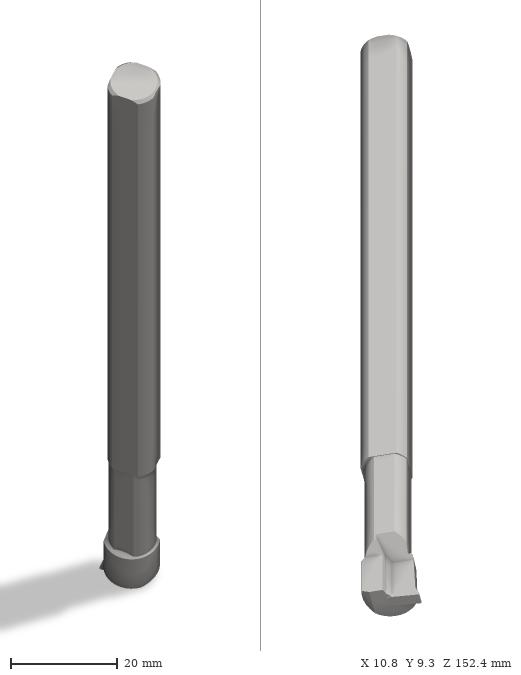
import cadquery as cq
import math

total_length = 152.4
neck_top = 35.7
head_top = 10.8
head_bottom = 0.6

shank_radius = 5.0
flat_distance = 4.3
left_flat_distance = 4.35
right_flat_distance = 4.7
end_chamfer = 0.6

neck_radius = 4.5
neck_shift = -0.3
neck_inset = 0.2

head_radius = 5.3
head_center = (-0.6, 0.3)
head_chamfer = 1.0
head_flat_top_x = -5.0
head_flat_bottom_x = -5.5
heel_width = 1.7
heel_rise = 0.8

back_face_y = 2.0
rake_face_y = 0.0
rake_width_end = -0.9
rake_step_x = 0.0
rake_step_y = 0.9
rake_wall_end = 0.5
back_ramp_z = 10.4
rake_ramp_z = 9.9

insert_thickness = 2.3
insert_side = 6.4
insert_tip_x = -6.4
insert_nose_x = -6.1
insert_tilt = 5.0
insert_tip_z = (insert_tip_x - insert_nose_x) * math.tan(math.radians(insert_tilt))

screw_radius = 0.8
screw_head_radius = 1.2
screw_head_depth = 0.8
screw_length = 2.7

margin = 15.2


def flatted_bar(radius, shift, right_x, inset, bottom, top):
    """Round bar along Z, trimmed to the planes of the flats."""
    bar = cq.Workplane("XY", origin=(shift, 0, bottom)).circle(radius).extrude(top - bottom)
    left_x = inset - left_flat_distance
    width = right_x - left_x
    middle = (right_x + left_x) / 2
    envelope = cq.Workplane("XY", origin=(middle, 0, bottom)).rect(width, 2 * (flat_distance - inset))
    return bar.intersect(envelope.extrude(top - bottom))


def make_shank():
    """Shank whose upper end carries a conical chamfer."""
    shank = flatted_bar(shank_radius, 0, right_flat_distance, 0, neck_top, total_length)
    cone = (
        cq.Workplane("XY", origin=(0, 0, neck_top))
        .circle(shank_radius)
        .extrude(total_length - neck_top)
        .faces(">Z")
        .chamfer(end_chamfer)
    )
    return shank.intersect(cone)


def make_head():
    """Cutting head with a chamfered shoulder, leaning left flat and relieved heel."""
    head = (
        cq.Workplane("XY", origin=(*head_center, head_bottom))
        .circle(head_radius)
        .extrude(head_top - head_bottom)
        .faces(">Z")
        .chamfer(head_chamfer)
    )
    side_outline = (
        cq.Workplane("XZ")
        .moveTo(head_flat_bottom_x, head_bottom)
        .lineTo(right_flat_distance - heel_width, head_bottom)
        .lineTo(right_flat_distance, head_bottom + heel_rise)
        .lineTo(right_flat_distance, head_top)
        .lineTo(head_flat_top_x, head_top)
        .close()
        .extrude(margin, both=True)
    )
    return head.intersect(side_outline)


def ramp_cutter(floor_y, ramp_z):
    """Clears everything behind floor_y, running out upward on a 45 degree ramp."""
    return (
        cq.Workplane("YZ")
        .moveTo(floor_y, -margin)
        .lineTo(floor_y, ramp_z)
        .lineTo(floor_y + margin, ramp_z + margin)
        .lineTo(floor_y + margin, -margin)
        .close()
        .extrude(margin, both=True)
    )


def rake_cutter():
    """Deeper clearance on the cutting side, ending in a wall that steepens halfway."""
    wall_slope = (rake_wall_end - rake_step_x) / (back_face_y - rake_step_y)
    plan = (
        cq.Workplane("XY", origin=(0, 0, -margin))
        .moveTo(-margin, rake_face_y)
        .lineTo(rake_width_end, rake_face_y)
        .lineTo(rake_step_x, rake_step_y)
        .lineTo(rake_step_x + wall_slope * margin, rake_step_y + margin)
        .lineTo(-margin, rake_step_y + margin)
        .close()
        .extrude(head_top + 2 * margin)
    )
    return plan.intersect(ramp_cutter(rake_face_y, rake_ramp_z))


def insert_point(distance, angle):
    """XZ position at a distance from the insert tip, in a direction from the bottom edge."""
    direction = math.radians(insert_tilt + angle)
    x = insert_tip_x + distance * math.cos(direction)
    z = insert_tip_z + distance * math.sin(direction)
    return x, z


def make_insert_blank():
    """Equilateral plate with its cutting corner cut off square."""
    blank = (
        cq.Workplane("XZ", origin=(0, rake_face_y, 0))
        .polyline([(insert_tip_x, insert_tip_z), insert_point(insert_side, 0), insert_point(insert_side, 60)])
        .close()
        .extrude(insert_thickness)
    )
    nose_cutter = cq.Workplane("XY", origin=(insert_nose_x - margin / 2, 0, 0)).box(margin, margin, margin)
    return blank.cut(nose_cutter)


def make_screw():
    """Screw through the insert centre, its head flush with the rake face."""
    center_x, center_z = insert_point(insert_side / math.sqrt(3), 30)
    face = cq.Workplane("XZ", origin=(center_x, rake_face_y, center_z))
    return face.circle(screw_radius).extrude(screw_length).union(
        face.circle(screw_head_radius).extrude(screw_head_depth)
    )


insert_blank = make_insert_blank()
screw = make_screw()
insert = insert_blank.cut(screw)

neck_right_x = neck_shift + neck_radius
neck_bottom = head_top - head_chamfer
neck = flatted_bar(neck_radius, neck_shift, neck_right_x, neck_inset, neck_bottom, neck_top)
bar = make_shank().union(neck).union(make_head())
bar = bar.cut(ramp_cutter(back_face_y, back_ramp_z)).cut(rake_cutter())
bar = bar.cut(insert_blank).cut(screw)

result = cq.Compound.makeCompound([bar.val(), insert.val(), screw.val()])